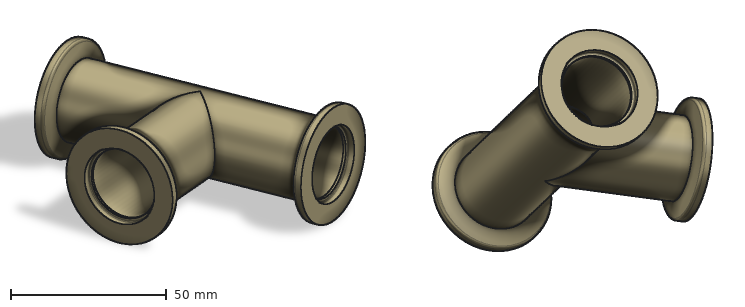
import cadquery as cq
import math

run_half_length = 50.0
branch_length = 50.0

tube_outer_radius = 14.0
tube_bore_radius = 12.0

flange_radius = 20.0
rim_corner_depth = 3.0
rim_fillet = 1.0
clamp_angle = math.radians(15.0)
recess_radius = 13.1
recess_depth = 2.5
recess_fillet = 0.3
seat_thickness = 1.0

tube_start_depth = recess_depth + seat_thickness

flange_depth = rim_corner_depth + (flange_radius - tube_outer_radius) * math.tan(clamp_angle)


def point_on_circle(center, radius, angle):
    return (center[0] + radius * math.cos(angle), center[1] + radius * math.sin(angle))


def make_flange():
    """Flange about Z with its sealing face at Z = 0 and its tube socket facing +Z."""
    rim_turn = math.pi / 2 - clamp_angle
    rim_tangent = rim_fillet * math.tan(rim_turn / 2)
    rim_center = (flange_radius - rim_fillet, rim_corner_depth - rim_tangent)
    recess_center = (recess_radius - recess_fillet, recess_depth - recess_fillet)

    profile = (
        cq.Workplane("XZ")
        .moveTo(recess_radius, 0)
        .lineTo(flange_radius, 0)
        .lineTo(flange_radius, rim_corner_depth - rim_tangent)
        .threePointArc(
            point_on_circle(rim_center, rim_fillet, rim_turn / 2),
            point_on_circle(rim_center, rim_fillet, rim_turn),
        )
        .lineTo(tube_outer_radius, flange_depth)
        .lineTo(tube_outer_radius, tube_start_depth)
        .lineTo(tube_bore_radius, tube_start_depth)
        .lineTo(tube_bore_radius, recess_depth)
        .lineTo(recess_center[0], recess_depth)
        .threePointArc(
            point_on_circle(recess_center, recess_fillet, math.pi / 4),
            (recess_radius, recess_center[1]),
        )
        .close()
    )
    return profile.revolve(360, (0, 0), (0, 1))


def cylinder_along_x(radius, half_length):
    return cq.Workplane("YZ").workplane(offset=-half_length).circle(radius).extrude(2 * half_length)


def cylinder_along_branch(radius, length):
    """Cylinder from the run axis out along -Y."""
    return cq.Workplane("XZ").circle(radius).extrude(length)


def make_mitre_wedge():
    """Right-angled wedge with its edge on the Z axis, opening toward -Y."""
    return (
        cq.Workplane("XY")
        .polyline([(0, 0), (-branch_length, -branch_length), (branch_length, -branch_length)])
        .close()
        .extrude(tube_outer_radius, both=True)
    )


def make_run_tube():
    """Straight tube with a V notch that takes the mitred end of the branch tube."""
    half_length = run_half_length - tube_start_depth
    outside = cylinder_along_x(tube_outer_radius, half_length)
    bore = cylinder_along_x(tube_bore_radius, half_length)
    return outside.cut(bore).cut(make_mitre_wedge())


def make_branch_tube():
    """Side tube whose inner end is mitred to a point that fills the notch in the run tube."""
    length = branch_length - tube_start_depth
    outside = cylinder_along_branch(tube_outer_radius, length)
    bore = cylinder_along_branch(tube_bore_radius, length)
    return outside.cut(bore).intersect(make_mitre_wedge())


def place_flange(face_center, inward):
    """Flange with its sealing face centred on face_center and its socket pointing along inward."""
    port = cq.Plane(origin=face_center, xDir=(0, 0, 1), normal=inward)
    return make_flange().val().moved(cq.Location(port))


run_tube = make_run_tube()
branch_tube = make_branch_tube()

ports = [
    ((-run_half_length, 0, 0), (1, 0, 0)),
    ((run_half_length, 0, 0), (-1, 0, 0)),
    ((0, -branch_length, 0), (0, 1, 0)),
]
flanges = [place_flange(face_center, inward) for face_center, inward in ports]

result = cq.Compound.makeCompound(
    [run_tube.val(), branch_tube.val(), *flanges]
)